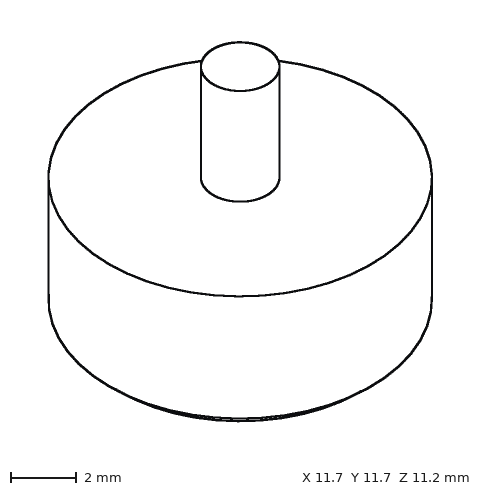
import cadquery as cq

body_diameter = 11.7
pin_diameter = 2.4
total_height = 11.2
pin_length = 4.3
chamfer_size = 0.5
tip_height = 1.64

body_radius = body_diameter / 2
pin_radius = pin_diameter / 2
tip_radius = body_radius - chamfer_size
body_bottom = tip_height + chamfer_size
body_top = total_height - pin_length

profile = (
    cq.Workplane("XZ")
    .moveTo(0, 0)
    .lineTo(tip_radius, tip_height)
    .lineTo(body_radius, body_bottom)
    .lineTo(body_radius, body_top)
    .lineTo(pin_radius, body_top)
    .lineTo(pin_radius, total_height)
    .lineTo(0, total_height)
    .close()
)

result = profile.revolve(360, (0, 0, 0), (0, 1, 0))